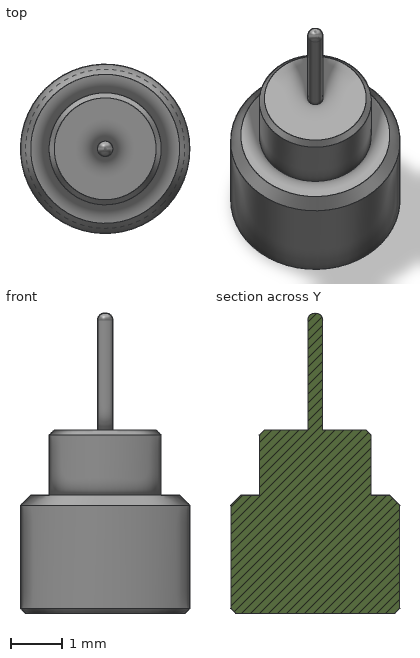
import cadquery as cq

total_height = 5.85

body_diameter = 3.3
body_top = 2.305
body_bottom_chamfer = 0.1
body_top_chamfer = 0.2

neck_diameter = 2.18
neck_top = 3.575
neck_chamfer = 0.1

pin_diameter = 0.3
pin_tip_radius = 0.135


def cylinder(diameter, bottom, top):
    """Upright cylinder on the Z axis between two heights."""
    return cq.Workplane("XY").workplane(offset=bottom).circle(diameter / 2).extrude(top - bottom)


body = cylinder(body_diameter, 0, body_top)
body = body.faces("<Z").chamfer(body_bottom_chamfer)
body = body.faces(">Z").chamfer(body_top_chamfer)

neck = cylinder(neck_diameter, body_top, neck_top).faces(">Z").chamfer(neck_chamfer)

pin = cylinder(pin_diameter, neck_top, total_height).faces(">Z").edges().fillet(pin_tip_radius)

result = body.union(neck).union(pin)